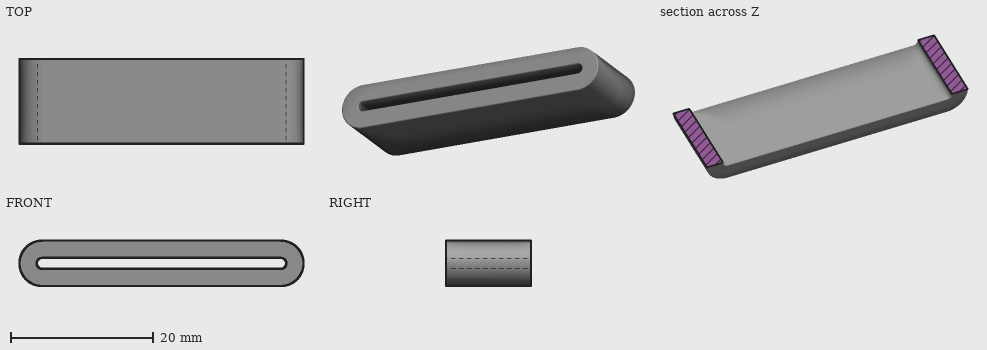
import cadquery as cq

length = 40.0
depth = 12.0
height = 6.5

wall = 2.5
slot_length = length - 2 * wall
slot_height = height - 2 * wall

edge_bevel = 0.1


def stadium_bar(bar_length, bar_height):
    """Round-ended bar centred on the origin and running along Y."""
    return cq.Workplane("XZ").slot2D(bar_length, bar_height).extrude(depth / 2, both=True)


body = stadium_bar(length, height)
slot = stadium_bar(slot_length, slot_height)

result = body.cut(slot).faces("<Y or >Y").edges().chamfer(edge_bevel)